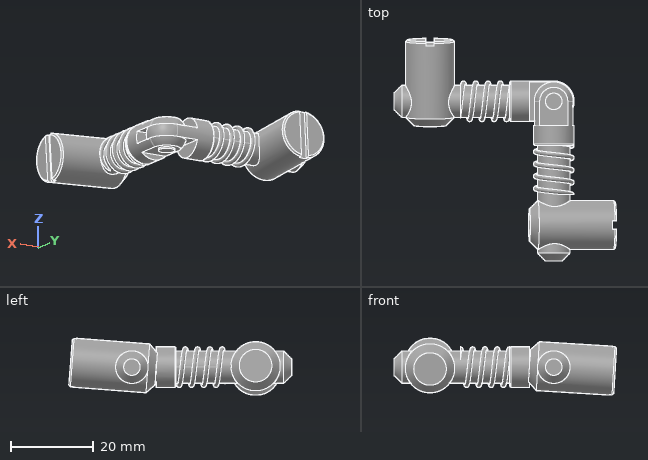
import cadquery as cq


rod_diameter = 7.9
rod_radius = rod_diameter / 2
collar_radius = 9.9 / 2
collar_inner = 5.85
collar_outer = 10.75
collar_chamfer = 0.3
arm_length = 38.8
pin_diameter = 4.0
tip_chamfer = (rod_diameter - pin_diameter) / 2

tongue_thickness = 3.05
hinge_flat_diameter = 6.8
fork_thickness = 2 * (collar_radius**2 - (hinge_flat_diameter / 2) ** 2) ** 0.5
pin_length = 8.0

wire_diameter = 1.1
coil_radius = collar_radius - wire_diameter / 2
coil_turns = 4
coil_pitch = 3.0
coil_length = coil_turns * coil_pitch
runout_turns = 0.5
coil_end = collar_outer + coil_length

head_diameter = 12.0
head_offset = 30.0
nose_length = 5.9
slotted_length = 14.95
nose_chamfer = (head_diameter - rod_diameter) / 2
rim_chamfer = 0.45
slot_width = 2.0
slot_depth = 1.05
first_head_tilt = 4.4
second_head_tilt = 3.5


def cylinder_along_x(start, length, radius):
    return cq.Workplane("YZ", origin=(start, 0, 0)).circle(radius).extrude(length)


def centred_slab(thickness):
    """Horizontal slab large enough to span the hinge."""
    span = 2 * collar_outer
    return cq.Workplane("XY").box(span, span, thickness)


def pin_cylinder():
    return (
        cq.Workplane("XY", origin=(0, 0, -pin_length / 2))
        .circle(pin_diameter / 2)
        .extrude(pin_length)
    )


def make_rod():
    rod = cylinder_along_x(-arm_length, arm_length - collar_inner, rod_radius)
    return rod.faces("<X").chamfer(tip_chamfer)


def make_collar():
    collar = cylinder_along_x(-collar_outer, collar_outer - collar_inner, collar_radius)
    return collar.faces("<X").chamfer(collar_chamfer)


def make_coils(roll):
    """Left-handed coils, ground flat at both ends; roll turns them about the rod."""
    runout_length = runout_turns * coil_pitch
    swept_length = coil_length + 2 * runout_length
    path = cq.Wire.makeHelix(coil_pitch, swept_length, coil_radius, lefthand=True)
    coils = (
        cq.Workplane("XZ")
        .center(coil_radius, 0)
        .circle(wire_diameter / 2)
        .sweep(cq.Workplane(obj=path), isFrenet=True)
        .rotate((0, 0, 0), (0, 1, 0), 90)
        .rotate((0, 0, 0), (1, 0, 0), roll)
        .translate((-coil_end - runout_length, 0, 0))
    )
    kept_length = cylinder_along_x(-coil_end, coil_length, head_diameter)
    return coils.intersect(kept_length)


def make_hinge_blank():
    """Collar-sized stub with a ball end centred on the pivot."""
    stub = cylinder_along_x(-collar_inner, collar_inner, collar_radius)
    return stub.union(cq.Workplane("XY").sphere(collar_radius))


def make_tongue():
    return make_hinge_blank().intersect(centred_slab(tongue_thickness))


def make_fork():
    fork = make_hinge_blank().intersect(centred_slab(fork_thickness))
    return fork.cut(centred_slab(tongue_thickness))


def make_arm(hinge_end, coil_roll):
    drilled_end = hinge_end.cut(pin_cylinder())
    return make_collar().union(make_rod()).union(drilled_end).union(make_coils(coil_roll))


def make_head(tilt, roll):
    """Slotted head along +X, tilted about the Y-axis rod that passes through it."""
    barrel = cylinder_along_x(-nose_length, nose_length + slotted_length, head_diameter / 2)
    barrel = barrel.faces("<X").chamfer(nose_chamfer)
    barrel = barrel.faces(">X").chamfer(rim_chamfer)
    slot = (
        cq.Workplane("XY")
        .box(2 * slot_depth, slot_width, 2 * head_diameter)
        .translate((slotted_length, 0, 0))
    )
    rod_hole = cq.Workplane("XZ").circle(rod_radius).extrude(head_diameter, both=True)
    head = barrel.cut(slot).cut(rod_hole)
    return head.rotate((0, 0, 0), (0, 1, 0), tilt).rotate((0, 0, 0), (0, 0, 1), roll)


tongue_arm = make_arm(make_tongue(), 0)
fork_arm = make_arm(make_fork(), 90).rotate((0, 0, 0), (0, 0, 1), 90)
hinge_pin = pin_cylinder()
first_head = make_head(-first_head_tilt, 90).translate((-head_offset, 0, 0))
second_head = make_head(second_head_tilt, 0).translate((0, -head_offset, 0))

bodies = [tongue_arm, fork_arm, hinge_pin, first_head, second_head]
result = cq.Compound.makeCompound([body.val() for body in bodies])